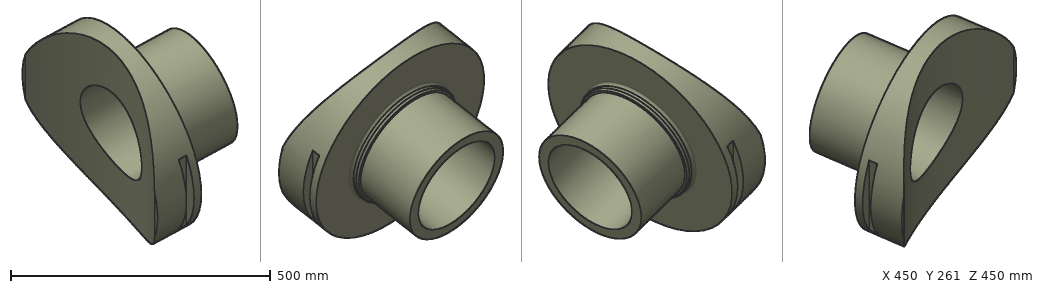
import cadquery as cq

flange_diameter = 450.0
overall_length = 261.0
flange_thickness = 104.0
pipe_diameter = 250.0
bore_diameter = 204.5

saddle_depth = 63.5
saddle_half_width = 214.5
saddle_radius = (saddle_half_width**2 + saddle_depth**2) / (2 * saddle_depth)

slot_setback = 17.5
slot_width = 18.0
slot_depth = 25.0

collar_length = 20.2
collar_root_radius = 130.0
bead_height = 2.5
bead_width = 7.0
flare_radius = 136.5
flare_sag = 1.0

front_y = -overall_length / 2
back_y = overall_length / 2
flange_back_y = front_y + flange_thickness
flange_radius = flange_diameter / 2


def cylinder(diameter, start_y, end_y):
    """Solid cylinder on the Y axis between two positions."""
    base = cq.Workplane("XZ", origin=(0, start_y, 0))
    return base.circle(diameter / 2).extrude(start_y - end_y)


def weld_collar():
    """Beaded ring revolved about the Y axis."""
    collar_back_y = flange_back_y + collar_length
    bead_crest = collar_root_radius + bead_height
    profile = cq.Workplane("XY").moveTo(bore_diameter / 2, collar_back_y)
    profile = profile.lineTo(collar_root_radius, collar_back_y)
    bead_y = collar_back_y
    for _ in range(2):
        crest = (bead_crest, bead_y - bead_width / 2)
        bead_y -= bead_width
        profile = profile.threePointArc(crest, (collar_root_radius, bead_y))
    flare_middle = (
        (collar_root_radius + flare_radius) / 2 - flare_sag,
        (bead_y + flange_back_y) / 2 - flare_sag,
    )
    profile = profile.threePointArc(flare_middle, (flare_radius, flange_back_y))
    profile = profile.lineTo(bore_diameter / 2, flange_back_y).close()
    return profile.revolve(360, (0, 0, 0), (0, 1, 0))


def saddle_cutter():
    """Cylinder whose crest reaches the saddle depth."""
    axis_y = front_y + saddle_depth - saddle_radius
    base = cq.Workplane("XY").center(0, axis_y).circle(saddle_radius)
    return base.extrude(flange_radius, both=True)


def rim_slot(side):
    """Flat-bottomed slot across the rim on the given X side."""
    center_x = side * (flange_radius - slot_depth / 2)
    center_y = flange_back_y - slot_setback - slot_width / 2
    slot = cq.Workplane("XY").box(slot_depth, slot_width, flange_diameter)
    return slot.translate((center_x, center_y, 0))


flange = cylinder(flange_diameter, front_y, flange_back_y)
flange = flange.cut(saddle_cutter())
for side in (-1, 1):
    flange = flange.cut(rim_slot(side))

pipe = cylinder(pipe_diameter, flange_back_y, back_y)
bore = cylinder(bore_diameter, front_y, back_y)
result = flange.union(pipe).union(weld_collar()).cut(bore)